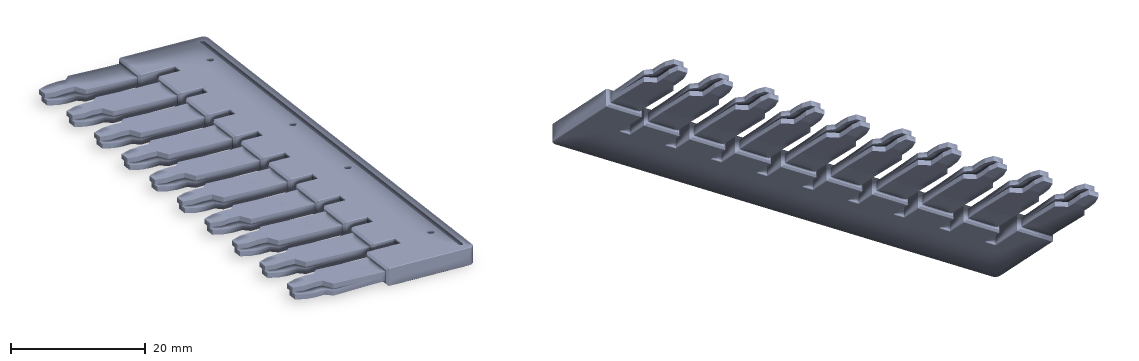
import cadquery as cq


LENGTH = 80.3
HEIGHT = 3.0
TOTAL_DEPTH = 29.7
TOOTH_COUNT = 10
TOOTH_WIDTH = 6.4
PITCH = (LENGTH - TOOTH_WIDTH) / (TOOTH_COUNT - 1)
BAR_DEPTH = 9.1
INNER_TOOTH_END = 13.0
OUTER_TOOTH_END = 15.1
BACK_CORNER_RADIUS = 1.0
EDGE_BEVEL = 0.1
TOOTH_END_BEVEL = 0.3

GROOVE_DISTANCE = 1.5
GROOVE_WIDTH = 0.7
GROOVE_DEPTH = 0.3
GROOVE_END_MARGIN = 1.3
HOLE_DISTANCE = 3.45
HOLE_DIAMETER = 1.1
HOLE_DEPTH = 0.65
HOLE_TAPER_ANGLE = 15.0
HOLE_PITCHES = (-4, -1, 1, 4)

BLADE_WIDTH = 5.3
LEAF_THICKNESS = 0.8
BLADE_EMBED = 0.8
SPLIT_START = 17.1
CREST_DISTANCE = 26.5
CREST_LIFT = 0.26
TIP_LIFT = 0.02
SHOULDER_START = 23.9
SHOULDER_END = 24.9
TAPER_START = 28.1
NECK_OUTER = 1.7
NECK_INNER = 1.0
TIP_OUTER = 1.2
TIP_INNER = 0.5


def tooth_end(index):
    """Distance of a tooth's end from the back; the two end teeth are longer."""
    if index in (0, TOOTH_COUNT - 1):
        return OUTER_TOOTH_END
    return INNER_TOOTH_END


def tooth_center(index):
    return (index - (TOOTH_COUNT - 1) / 2) * PITCH


def make_body():
    body = cq.Workplane("XY").box(LENGTH, BAR_DEPTH, HEIGHT).translate((0, -BAR_DEPTH / 2, 0))
    for index in range(TOOTH_COUNT):
        depth = tooth_end(index)
        tooth = cq.Workplane("XY").box(TOOTH_WIDTH, depth, HEIGHT).faces("<Y").chamfer(TOOTH_END_BEVEL)
        body = body.union(tooth.translate((tooth_center(index), -depth / 2, 0)))
    body = body.clean()
    body = body.edges("|Z and >Y").fillet(BACK_CORNER_RADIUS)
    outlines = body.faces(">Z or <Z").edges()
    outlines = outlines.filter(lambda edge: edge.BoundingBox().ymax > -BAR_DEPTH - EDGE_BEVEL)
    return outlines.chamfer(EDGE_BEVEL)


def cut_groove_and_holes(body):
    top = cq.Workplane("XY", origin=(0, 0, HEIGHT / 2))
    groove = (
        top.center(0, -GROOVE_DISTANCE)
        .slot2D(LENGTH - 2 * GROOVE_END_MARGIN, GROOVE_WIDTH)
        .extrude(-GROOVE_DEPTH)
    )
    holes = (
        top.pushPoints([(count * PITCH, -HOLE_DISTANCE) for count in HOLE_PITCHES])
        .circle(HOLE_DIAMETER / 2)
        .extrude(-HOLE_DEPTH, taper=HOLE_TAPER_ANGLE)
    )
    return body.cut(groove).cut(holes)


def make_upper_leaf():
    """Spring leaf bowed away from the mid-plane, with its neck offset to -X."""
    half_width = BLADE_WIDTH / 2
    inner_side = [(-SPLIT_START, 0), (-CREST_DISTANCE, CREST_LIFT), (-TOTAL_DEPTH, TIP_LIFT)]
    outer_side = [(y, z + LEAF_THICKNESS) for y, z in reversed(inner_side)]
    bowed_strip = (
        cq.Workplane("YZ").polyline(inner_side + outer_side).close().extrude(half_width, both=True)
    )
    outline = [
        (-half_width, -SPLIT_START),
        (-half_width, -SHOULDER_START),
        (-NECK_OUTER, -SHOULDER_END),
        (-NECK_OUTER, -TAPER_START),
        (-TIP_OUTER, -TOTAL_DEPTH),
        (TIP_INNER, -TOTAL_DEPTH),
        (NECK_INNER, -TAPER_START),
        (NECK_INNER, -SHOULDER_END),
        (half_width, -SHOULDER_START),
        (half_width, -SPLIT_START),
    ]
    return bowed_strip.intersect(cq.Workplane("XY").polyline(outline).close().extrude(HEIGHT))


def make_blade(root_distance):
    """Solid shank from inside the tooth to the split, then two opposed leaves."""
    shank_length = SPLIT_START - root_distance
    shank = cq.Workplane("XY").box(BLADE_WIDTH, shank_length, 2 * LEAF_THICKNESS)
    shank = shank.translate((0, -root_distance - shank_length / 2, 0))
    upper_leaf = make_upper_leaf()
    lower_leaf = upper_leaf.rotate((0, 0, 0), (0, 1, 0), 180)
    return shank.union(upper_leaf).union(lower_leaf)


result = cut_groove_and_holes(make_body())
for tooth_index in range(TOOTH_COUNT):
    blade = make_blade(tooth_end(tooth_index) - BLADE_EMBED)
    result = result.union(blade.translate((tooth_center(tooth_index), 0, 0)))